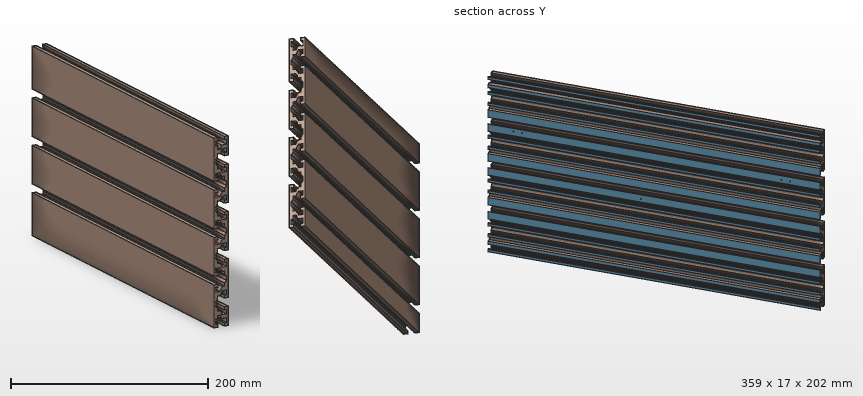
import cadquery as cq

LENGTH = 359.0
THICKNESS = 17.0
HEIGHT = 202.0

PITCH_COUNT = 8
PITCH = HEIGHT / PITCH_COUNT

WALL = 2.0
LIP_DEPTH = 4.5
LIP_HEIGHT = 3.2

MOUTH_HALF = 4.5
POCKET_NEAR = MOUTH_HALF + LIP_HEIGHT
POCKET_FAR = PITCH / 2
WEB_START_DEPTH = 7.0
WEB_END_DEPTH = 9.7
SHOULDER_DEPTH = 12.5
FLOOR_DEPTH = THICKNESS - WALL
FLOOR_HALF = 2.0

END_FLOOR = 8.5
END_NOTCH = PITCH / 2
NOTCH_TOP_DEPTH = 8.0
NOTCH_BOTTOM_DEPTH = 9.5


def prism(points):
    """Extrude a closed (Y, Z) outline along the panel length."""
    return cq.Workplane("YZ").polyline(points).close().extrude(LENGTH / 2, both=True)


def side_slot(center_z, side):
    """T-slot with a tapered floor; side is +1 for the back face, -1 for the front."""
    upper_half = [
        (0, MOUTH_HALF),
        (LIP_DEPTH, MOUTH_HALF),
        (LIP_DEPTH, POCKET_NEAR),
        (WALL, POCKET_NEAR),
        (WALL, POCKET_FAR),
        (WEB_START_DEPTH, POCKET_FAR),
        (WEB_END_DEPTH, POCKET_NEAR),
        (SHOULDER_DEPTH, POCKET_NEAR),
        (SHOULDER_DEPTH, MOUTH_HALF),
        (FLOOR_DEPTH, FLOOR_HALF),
    ]
    lower_half = [(depth, -offset) for depth, offset in reversed(upper_half)]
    outline = [
        (side * (THICKNESS / 2 - depth), center_z + offset)
        for depth, offset in upper_half + lower_half
    ]
    return prism(outline)


def end_groove(end):
    """Lipped groove along the top (end = +1) or bottom (end = -1) edge."""
    profile = [
        (LIP_DEPTH, 0),
        (LIP_DEPTH, LIP_HEIGHT),
        (WALL, LIP_HEIGHT),
        (WALL, END_FLOOR),
        (NOTCH_TOP_DEPTH, END_FLOOR),
        (NOTCH_BOTTOM_DEPTH, END_NOTCH),
        (SHOULDER_DEPTH, END_NOTCH),
        (SHOULDER_DEPTH, END_FLOOR),
        (FLOOR_DEPTH, END_FLOOR),
        (FLOOR_DEPTH, LIP_HEIGHT),
        (THICKNESS - LIP_DEPTH, LIP_HEIGHT),
        (THICKNESS - LIP_DEPTH, 0),
    ]
    outline = [
        (THICKNESS / 2 - depth, end * (HEIGHT / 2 - drop))
        for depth, drop in profile
    ]
    return prism(outline)


result = cq.Workplane("XY").box(LENGTH, THICKNESS, HEIGHT)

for index in range(1, PITCH_COUNT):
    slot_side = 1 if index % 2 else -1
    result = result.cut(side_slot(index * PITCH - HEIGHT / 2, slot_side))

for panel_end in (1, -1):
    result = result.cut(end_groove(panel_end))